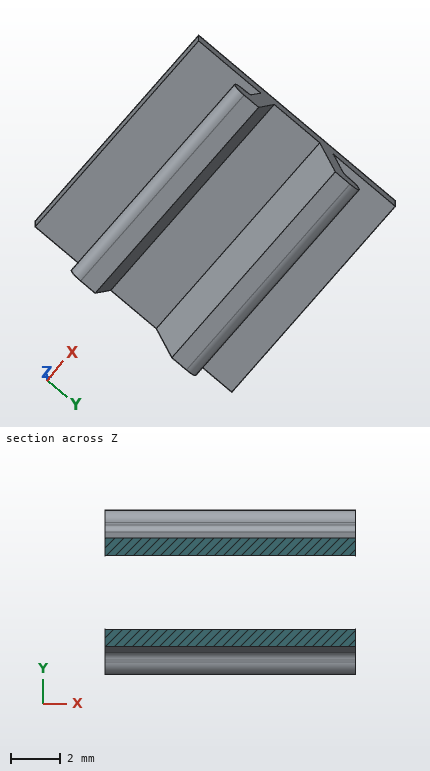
import cadquery as cq
import math

LENGTH_X = 10.15
PLATE_WIDTH_Y = 10.5
PLATE_THICKNESS = 1.1

TOTAL_HEIGHT = 4.2
LEG_HEIGHT = TOTAL_HEIGHT - PLATE_THICKNESS
LEG_SPLAY_DEG = 15.0
LEG_THICKNESS = 0.7
LEG_HALF_GAP = 1.215

BEAD_DIAMETER = 1.0
BEAD_RADIUS = BEAD_DIAMETER / 2
BEAD_REACH_Y = 3.325
BEAD_FILLET = 0.3


def make_plate():
    """Flat plate whose underside lies on Z = 0."""
    return cq.Workplane("XY").box(
        LENGTH_X, PLATE_WIDTH_Y, PLATE_THICKNESS, centered=(True, True, False)
    )


def make_leg():
    """Leg on the +Y side, drawn in the YZ plane and extruded along X."""
    splay = math.radians(LEG_SPLAY_DEG)
    outer_top_y = LEG_HALF_GAP + LEG_THICKNESS / math.cos(splay)
    inner_bottom_y = LEG_HALF_GAP + LEG_HEIGHT * math.tan(splay)

    foot_z = -LEG_HEIGHT
    bead_top_z = foot_z + BEAD_DIAMETER
    bead_center_y = BEAD_REACH_Y - BEAD_RADIUS

    corner_y = outer_top_y - bead_top_z * math.tan(splay)
    tangent_length = BEAD_FILLET * math.tan((math.pi / 2 - splay) / 2)
    blend_start = (
        corner_y - tangent_length * math.sin(splay),
        bead_top_z + tangent_length * math.cos(splay),
    )
    blend_end = (corner_y + tangent_length, bead_top_z)

    return (
        cq.Workplane("YZ", origin=(-LENGTH_X / 2, 0, 0))
        .moveTo(LEG_HALF_GAP, 0)
        .lineTo(outer_top_y, 0)
        .lineTo(*blend_start)
        .radiusArc(blend_end, -BEAD_FILLET)
        .lineTo(bead_center_y, bead_top_z)
        .threePointArc(
            (BEAD_REACH_Y, foot_z + BEAD_RADIUS),
            (bead_center_y, foot_z),
        )
        .lineTo(inner_bottom_y, foot_z)
        .close()
        .extrude(LENGTH_X)
    )


leg = make_leg()
result = make_plate().union(leg).union(leg.mirror("XZ"))